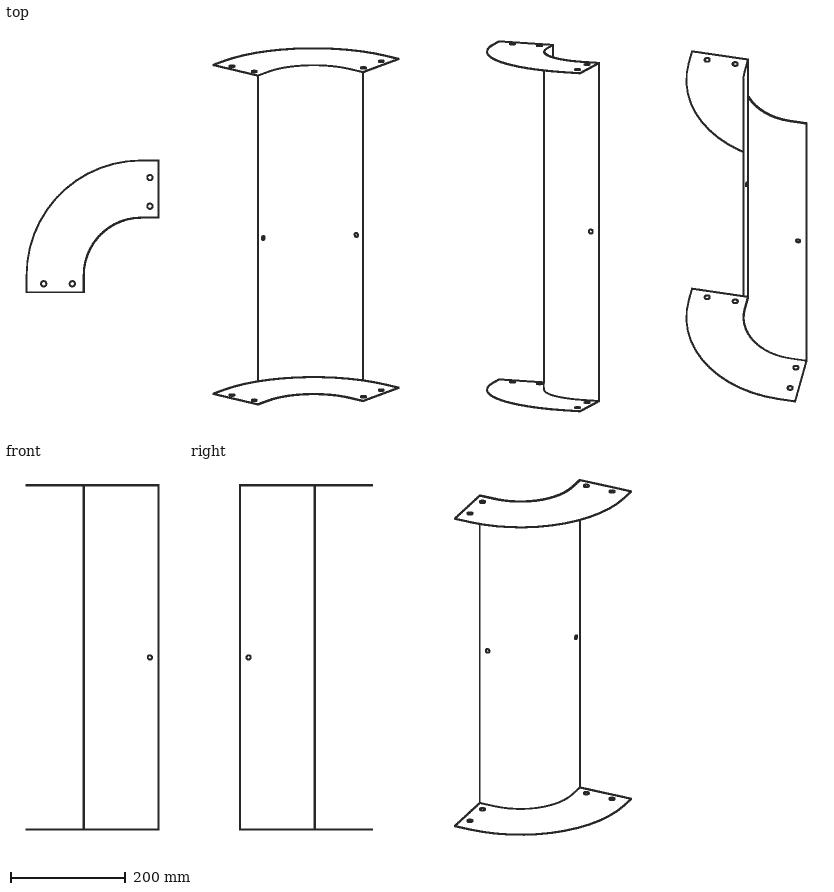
import cadquery as cq
import math

height = 600.0
overall_side = 230.0
flange_width = 100.0
straight_length = 30.0
sheet_thickness = 1.0
wall_hole_diameter = 7.0
flange_hole_diameter = 9.0
end_to_hole = 15.0
outer_edge_to_hole = 30.0
flange_hole_spacing = 50.0

outer_radius = overall_side - straight_length
inner_radius = outer_radius - flange_width
wall_outer_radius = inner_radius + sheet_thickness
hole_offset = straight_length - end_to_hole


def quarter_bend(large_radius, small_radius, thickness):
    """Curved strip between two radii, with a straight run at both ends."""
    diagonal = math.sqrt(0.5)
    large_middle = (-large_radius * diagonal, large_radius * diagonal)
    small_middle = (-small_radius * diagonal, small_radius * diagonal)
    return (
        cq.Workplane("XY")
        .moveTo(-large_radius, -straight_length)
        .lineTo(-large_radius, 0)
        .threePointArc(large_middle, (0, large_radius))
        .lineTo(straight_length, large_radius)
        .lineTo(straight_length, small_radius)
        .lineTo(0, small_radius)
        .threePointArc(small_middle, (-small_radius, 0))
        .lineTo(-small_radius, -straight_length)
        .close()
        .extrude(thickness)
    )


def flange_holes():
    """Vertical cutters for the hole pair at each end of both flanges."""
    first_radius = outer_radius - outer_edge_to_hole
    points = []
    for radius in (first_radius, first_radius - flange_hole_spacing):
        points.append((-radius, -hole_offset))
        points.append((hole_offset, radius))
    return cq.Workplane("XY").pushPoints(points).circle(flange_hole_diameter / 2).extrude(height)


def wall_hole(direction, center_x, center_y):
    """Cutter through one straight wall run at mid-height."""
    cutter_length = 4 * sheet_thickness
    start = cq.Vector(center_x, center_y, height / 2) - direction * (cutter_length / 2)
    cutter = cq.Solid.makeCylinder(wall_hole_diameter / 2, cutter_length, start, direction)
    return cq.Workplane(cutter)


wall = quarter_bend(wall_outer_radius, inner_radius, height)
flange = quarter_bend(outer_radius, inner_radius, sheet_thickness)
top_flange = flange.translate((0, 0, height - sheet_thickness))
body = wall.union(flange).union(top_flange)

wall_middle_radius = (inner_radius + wall_outer_radius) / 2
body = body.cut(flange_holes())
body = body.cut(wall_hole(cq.Vector(0, 1, 0), hole_offset, wall_middle_radius))
body = body.cut(wall_hole(cq.Vector(1, 0, 0), -wall_middle_radius, -hole_offset))

result = body